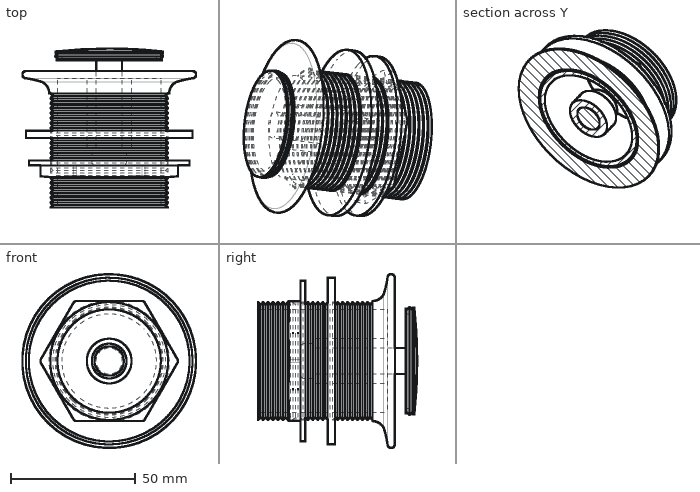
import cadquery as cq
import math


thread_pitch = 2.0
thread_crest_radius = 23.7
thread_root_radius = 22.7
thread_turns = 23
thread_length = thread_turns * thread_pitch
bore_radius = 20.8

flange_radius = 35.0
flange_top = 55.0
rim_round = 1.5
flange_underside = flange_top - 2 * rim_round
bore_depth = flange_underside
flare_foot_radius = 24.2
flare_break_radius = 26.85
flare_break_height = 50.45
flare_dish_sagitta = 0.15

boss_radius = 9.0
boss_face = 21.9

stem_radius = 5.25
stem_head_radius = 7.0
stem_head_height = 5.0
stem_head_chamfer = 1.1
cap_bottom = 59.2
cap_top = 64.06
cap_rim_radius = 21.6
cap_rim_bottom = 62.1
cap_rim_top = 62.86
cap_lip_radius = 21.15
cap_lip_top = 59.7
seal_groove_radius = 19.0

seal_edge_radius = 20.7
seal_ridge_base_radius = 21.15
seal_ridge_radius = 21.75
seal_ridge_half_width = 0.5

washer_radius = 33.55
washer_bottom = 28.0
washer_thickness = 3.0

nut_flange_radius = 32.35
nut_flange_bottom = 17.0
nut_flange_thickness = 2.0
nut_across_flats = 48.3
nut_bottom = 12.25
nut_corner_round = 1.3
nut_face_drop = 0.35


def turned(profile):
    """Revolve a closed (radius, height) profile about the Y axis."""
    return profile.close().revolve(360, (0, 0, 0), (0, 1, 0))


def ring(outer_radius, inner_radius, bottom, thickness):
    """Flat ring about the Y axis."""
    profile = (
        cq.Workplane("XY")
        .moveTo(inner_radius, bottom)
        .lineTo(outer_radius, bottom)
        .lineTo(outer_radius, bottom + thickness)
        .lineTo(inner_radius, bottom + thickness)
    )
    return turned(profile)


def make_housing():
    profile = (
        cq.Workplane("XY")
        .moveTo(stem_radius, boss_face)
        .lineTo(boss_radius, boss_face)
        .lineTo(boss_radius, bore_depth)
        .lineTo(bore_radius, bore_depth)
        .lineTo(bore_radius, 0)
        .lineTo(thread_crest_radius, 0)
    )
    for turn in range(thread_turns):
        profile = profile.lineTo(thread_root_radius, (turn + 0.5) * thread_pitch)
        profile = profile.lineTo(thread_crest_radius, (turn + 1) * thread_pitch)

    flare_run = flare_break_radius - flare_foot_radius
    flare_rise = flare_break_height - thread_length
    flare_arc_radius = (flare_run**2 + flare_rise**2) / (2 * flare_run)
    half_sweep = math.asin(flare_rise / flare_arc_radius) / 2
    flare_middle = (
        flare_foot_radius + flare_arc_radius * (1 - math.cos(half_sweep)),
        thread_length + flare_arc_radius * math.sin(half_sweep),
    )
    rim_centre_radius = flange_radius - rim_round
    profile = (
        profile.lineTo(flare_foot_radius, thread_length)
        .threePointArc(flare_middle, (flare_break_radius, flare_break_height))
        .sagittaArc((rim_centre_radius, flange_underside), flare_dish_sagitta)
        .threePointArc((flange_radius, flange_top - rim_round), (rim_centre_radius, flange_top))
        .lineTo(stem_radius, flange_top)
    )
    return turned(profile)


def make_plug():
    head_bottom = boss_face - stem_head_height
    dome_rise = cap_top - cap_rim_top
    dome_radius = (cap_rim_radius**2 + dome_rise**2) / (2 * dome_rise)
    half_sweep = math.asin(cap_rim_radius / dome_radius) / 2
    dome_middle = (
        dome_radius * math.sin(half_sweep),
        cap_top - dome_radius * (1 - math.cos(half_sweep)),
    )
    profile = (
        cq.Workplane("XY")
        .moveTo(0, head_bottom)
        .lineTo(stem_head_radius - stem_head_chamfer, head_bottom)
        .lineTo(stem_head_radius, head_bottom + stem_head_chamfer)
        .lineTo(stem_head_radius, boss_face)
        .lineTo(stem_radius, boss_face)
        .lineTo(stem_radius, cap_bottom)
        .lineTo(cap_lip_radius, cap_bottom)
        .lineTo(cap_lip_radius, cap_lip_top)
        .lineTo(seal_groove_radius, cap_lip_top)
        .lineTo(seal_groove_radius, cap_rim_bottom)
        .lineTo(cap_rim_radius, cap_rim_bottom)
        .lineTo(cap_rim_radius, cap_rim_top)
        .threePointArc(dome_middle, (0, cap_top))
    )
    return turned(profile)


def make_seal():
    ridge_height = (cap_lip_top + cap_rim_bottom) / 2
    profile = (
        cq.Workplane("XY")
        .moveTo(seal_groove_radius, cap_lip_top)
        .lineTo(seal_edge_radius, cap_lip_top)
        .lineTo(seal_ridge_base_radius, ridge_height - seal_ridge_half_width)
        .lineTo(seal_ridge_radius, ridge_height)
        .lineTo(seal_ridge_base_radius, ridge_height + seal_ridge_half_width)
        .lineTo(seal_edge_radius, cap_rim_bottom)
        .lineTo(seal_groove_radius, cap_rim_bottom)
    )
    return turned(profile)


def make_washer():
    return ring(washer_radius, thread_crest_radius, washer_bottom, washer_thickness)


def make_nut():
    across_corners = nut_across_flats / math.cos(math.radians(30))
    hexagon = (
        cq.Workplane("XZ", origin=(0, nut_flange_bottom, 0))
        .polygon(6, across_corners)
        .extrude(nut_flange_bottom - nut_bottom)
        .edges("|Y")
        .fillet(nut_corner_round)
    )
    corner_radius = across_corners / 2
    cone = turned(
        cq.Workplane("XY")
        .moveTo(thread_crest_radius, nut_bottom)
        .lineTo(corner_radius, nut_bottom + nut_face_drop)
        .lineTo(corner_radius, nut_flange_bottom)
        .lineTo(thread_crest_radius, nut_flange_bottom)
    )
    flange = ring(nut_flange_radius, thread_crest_radius, nut_flange_bottom, nut_flange_thickness)
    return flange.union(hexagon.intersect(cone))


housing = make_housing()
washer = make_washer()
nut = make_nut()
plug = make_plug()
seal = make_seal()

result = cq.Compound.makeCompound([housing.val(), washer.val(), nut.val(), plug.val(), seal.val()])